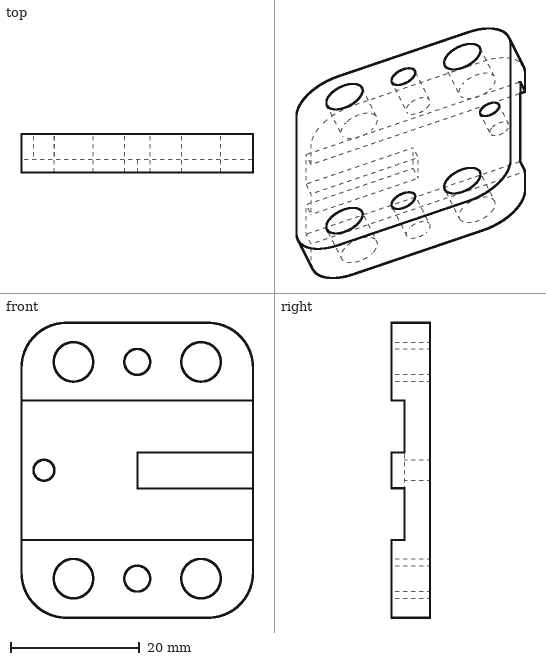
import cadquery as cq

width = 36.0
thickness = 6.0
height = 45.85
corner_radius = 7.0

channel_height = 21.6
channel_depth = 2.0
key_height = 5.6
key_length = width / 2

mount_diameter = 6.1
mount_spacing = 19.8
row_spacing = 33.65
pin_diameter = 4.0
side_hole_diameter = 3.2
side_hole_x = -14.5

front_y = -thickness / 2
channel_y = front_y + channel_depth / 2


def make_plate():
    plate = cq.Workplane("XY").box(width, thickness, height)
    return plate.edges("|Y").fillet(corner_radius)


def make_channel():
    channel = cq.Workplane("XY").box(width, channel_depth, channel_height)
    key = cq.Workplane("XY").box(key_length, channel_depth, key_height)
    key_x = (width - key_length) / 2
    return channel.cut(key.translate((key_x, 0, 0))).translate((0, channel_y, 0))


def make_holes(diameter, centres):
    front = cq.Workplane("XZ", origin=(0, front_y, 0))
    return front.pushPoints(centres).circle(diameter / 2).extrude(-thickness)


row_heights = (-row_spacing / 2, row_spacing / 2)
mount_centres = [(x, z) for x in (-mount_spacing / 2, mount_spacing / 2) for z in row_heights]
pin_centres = [(0, z) for z in row_heights]

result = make_plate().cut(make_channel())
result = result.cut(make_holes(mount_diameter, mount_centres))
result = result.cut(make_holes(pin_diameter, pin_centres))
result = result.cut(make_holes(side_hole_diameter, [(side_hole_x, 0)]))